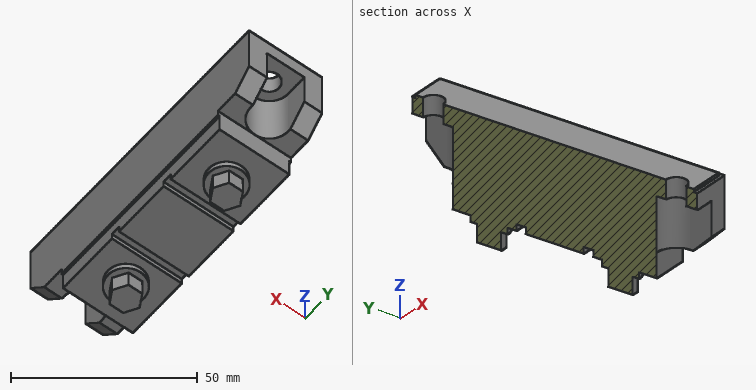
import cadquery as cq

body_width = 25.0
body_length = 94.0
body_depth = 22.2
end_chamfer = 6.0

plate_inset = 1.1
plate_height = 0.9

neck_length = 67.2
neck_bottom = -24.1
foot_width = 23.9
foot_bottom = -30.1
groove_width = 3.0
groove_depth = 2.0
groove_spacing = 22.2

hole_diameter = 6.6
hole_spacing = 80.0
slot_width = 12.8
slot_roof = -5.2

stud_spacing = 43.2
washer_diameter = 12.3
washer_thickness = 2.0
hex_corner_diameter = 9.4
part_height = 38.5
hex_bottom = plate_height - part_height


def block(width, length, bottom, top):
    """Box centred on X and Y between two heights."""
    return cq.Workplane("XY", origin=(0, 0, bottom)).rect(width, length).extrude(top - bottom)


def make_housing():
    """Chamfered body with the raised plate, neck and grooved foot."""
    body = block(body_width, body_length, -body_depth, 0).faces("<Z").edges("|X").chamfer(end_chamfer)
    plate = block(body_width - 2 * plate_inset, body_length - 2 * plate_inset, 0, plate_height)
    neck = block(body_width, neck_length, neck_bottom, -body_depth)
    foot = block(foot_width, neck_length, foot_bottom, neck_bottom)
    housing = body.union(plate).union(neck).union(foot)
    for side in (-1, 1):
        groove = block(body_width, groove_width, foot_bottom, foot_bottom + groove_depth)
        housing = housing.cut(groove.translate((0, side * groove_spacing / 2, 0)))
    return housing


def mounting_cut(side):
    """Through hole above a round-ended slot that opens at the end of the body."""
    hole_y = side * hole_spacing / 2
    end_y = side * body_length / 2
    base = cq.Workplane("XY", origin=(0, 0, -body_depth))
    slot_height = slot_roof + body_depth
    round_end = base.center(0, hole_y).circle(slot_width / 2).extrude(slot_height)
    opening = (
        base.center(0, (hole_y + end_y) / 2)
        .rect(slot_width, abs(end_y - hole_y))
        .extrude(slot_height)
    )
    hole = base.center(0, hole_y).circle(hole_diameter / 2).extrude(body_depth + plate_height)
    return round_end.union(opening).union(hole)


def make_stud(side):
    """Round washer with a hexagonal stud end, hanging from the foot."""
    base = cq.Workplane("XY", origin=(0, side * stud_spacing / 2, foot_bottom))
    washer = base.circle(washer_diameter / 2).extrude(-washer_thickness)
    hexagon = base.polygon(6, hex_corner_diameter).extrude(hex_bottom - foot_bottom)
    return washer.union(hexagon)


result = make_housing()
for end in (-1, 1):
    result = result.cut(mounting_cut(end)).union(make_stud(end))